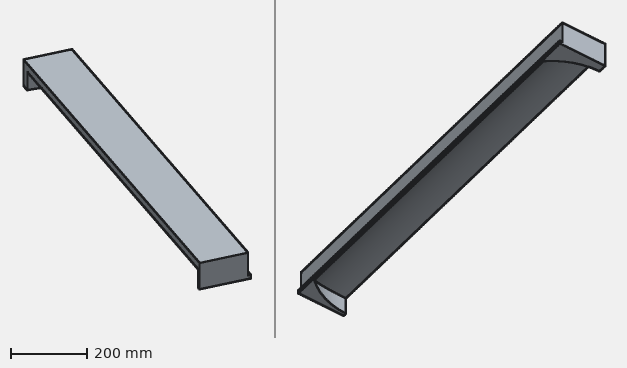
import cadquery as cq
import math

length = 1172.0
body_depth = 138.0
height = 80.0

lip_depth = 8.0
lip_height = 10.0

left_frame = 26.0
right_frame = 10.0
top_frame = 25.0

cove_radius = 211.0
opening_height = height - top_frame
opening_right = length - right_frame
cove_reach = math.sqrt(cove_radius**2 - (cove_radius - opening_height) ** 2)


def inset(depth):
    """Distance the cove has moved inward at a depth behind the front face."""
    return cove_radius - math.sqrt(cove_radius**2 - depth**2)


def make_body():
    body = cq.Workplane("XY").box(length, body_depth, height, centered=False)
    lip = (
        cq.Workplane("XY")
        .box(length, body_depth + lip_depth, lip_height, centered=False)
    )
    return body.union(lip)


def make_recess():
    """Recess open at the front and bottom, with coved top and ends meeting in mitres."""
    mid_depth = cove_reach / 2
    mid_inset = inset(mid_depth)
    top_cove = (
        cq.Workplane("YZ")
        .moveTo(0, 0)
        .lineTo(0, opening_height)
        .threePointArc((mid_depth, opening_height - mid_inset), (cove_reach, 0))
        .close()
        .extrude(length)
    )
    end_inset = inset(cove_reach)
    end_coves = (
        cq.Workplane("XY")
        .moveTo(left_frame, 0)
        .threePointArc((left_frame + mid_inset, mid_depth), (left_frame + end_inset, cove_reach))
        .lineTo(opening_right - end_inset, cove_reach)
        .threePointArc((opening_right - mid_inset, mid_depth), (opening_right, 0))
        .close()
        .extrude(opening_height)
    )
    return top_cove.intersect(end_coves)


result = make_body().cut(make_recess())